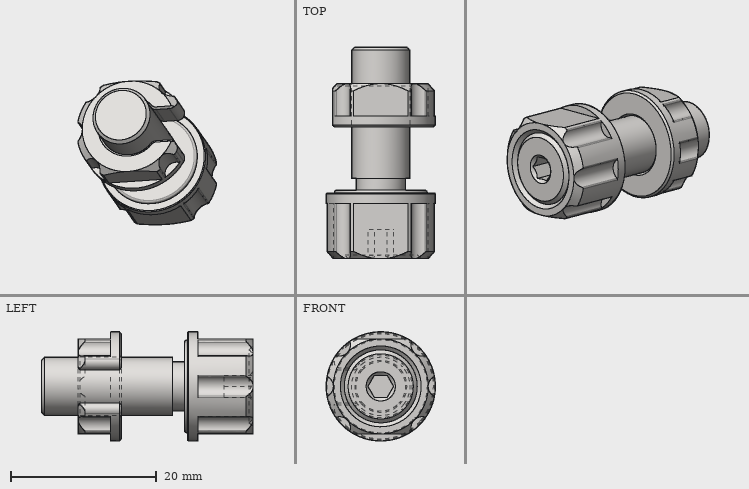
import cadquery as cq

LENGTH = 29.03

OUTER_RADIUS = 15.0 / 2
FLAT_HEIGHT = 6.5
GRIP_CHAMFER = 1.0
NOTCH_CENTRE = 8.0
NOTCH_RADIUS = 1.5
NOTCH_EDGE_ROUND = 0.2
NOTCH_ANGLES = [0, 45, 135, 180, 225, 315]

HEAD_GRIP_LENGTH = 7.58
FLANGE_END = 9.03
FLANGE_EDGE_CHAMFER = 0.15
COLLAR_RADIUS = 6.4
COLLAR_END = 9.4
COLLAR_ROUND = 0.35
NECK_RADIUS = 3.4
NECK_END = 11.03
SHAFT_RADIUS = 4.0
TIP_CHAMFER = 0.44

GROOVE_OUTER_RADIUS = 5.55
GROOVE_INNER_RADIUS = 4.47
SOCKET_FLATS = 3.05
SOCKET_DEPTH = 4.0
SOCKET_MOUTH_RADIUS = 2.0

CLIP_START = 18.05
CLIP_END = 24.0
CLIP_FLANGE = 1.5
CLIP_EDGE_CHAMFER = 0.3
BORE_RADIUS = SHAFT_RADIUS
SLOT_WIDTH = 4.5
SLOT_CORNER_ROUND = 1.0


def turned(points):
    """Solid of revolution about Y from (radius, y) points."""
    return cq.Workplane("XY").polyline(points).close().revolve(360, (0, 0, 0), (0, 1, 0))


def along_y(start):
    """Sketch plane across the axis at y = start, facing +Y, with local x = +X and local y = -Z."""
    return cq.Workplane(cq.Plane((0, start, 0), xDir=(1, 0, 0), normal=(0, 1, 0)))


def grip_waste(start, length):
    """Material to remove around a grip: everything outside its flats, notches and rounded notch edges."""
    grip = along_y(start).circle(OUTER_RADIUS).extrude(length)
    for angle in NOTCH_ANGLES:
        notch = along_y(start).center(NOTCH_CENTRE, 0).circle(NOTCH_RADIUS).extrude(length)
        grip = grip.cut(notch.rotate((0, 0, 0), (0, 1, 0), angle))
    grip = grip.edges("|Y").fillet(NOTCH_EDGE_ROUND)
    between_flats = along_y(start).rect(3 * OUTER_RADIUS, 2 * FLAT_HEIGHT).extrude(length)
    surround = along_y(start).circle(2 * OUTER_RADIUS).extrude(length)
    return surround.cut(grip.intersect(between_flats))


def face_groove():
    """45 degree V groove around the head face."""
    depth = (GROOVE_OUTER_RADIUS - GROOVE_INNER_RADIUS) / 2
    return turned([
        (GROOVE_INNER_RADIUS, 0),
        (GROOVE_OUTER_RADIUS, 0),
        (GROOVE_INNER_RADIUS + depth, depth),
    ])


def hex_socket():
    """Hexagon with flats facing +Z and -Z, and a 90 degree conical mouth."""
    hexagon = (
        along_y(0)
        .transformed(rotate=(0, 0, 30))
        .polygon(6, SOCKET_FLATS, circumscribed=True)
        .extrude(SOCKET_DEPTH)
    )
    mouth = turned([(0, 0), (SOCKET_MOUTH_RADIUS, 0), (0, SOCKET_MOUTH_RADIUS)])
    return hexagon.union(mouth)


def make_screw():
    body = turned([
        (0, 0),
        (OUTER_RADIUS - GRIP_CHAMFER, 0),
        (OUTER_RADIUS, GRIP_CHAMFER),
        (OUTER_RADIUS, FLANGE_END - FLANGE_EDGE_CHAMFER),
        (OUTER_RADIUS - FLANGE_EDGE_CHAMFER, FLANGE_END),
        (NECK_RADIUS, FLANGE_END),
        (NECK_RADIUS, NECK_END),
        (SHAFT_RADIUS, NECK_END),
        (SHAFT_RADIUS, LENGTH - TIP_CHAMFER),
        (SHAFT_RADIUS - TIP_CHAMFER, LENGTH),
        (0, LENGTH),
    ])
    body = body.cut(grip_waste(0, HEAD_GRIP_LENGTH))

    collar = along_y(HEAD_GRIP_LENGTH).circle(COLLAR_RADIUS).extrude(COLLAR_END - HEAD_GRIP_LENGTH)
    collar = collar.faces(">Y").edges().fillet(COLLAR_ROUND)

    return body.union(collar).cut(face_groove()).cut(hex_socket())


def make_clip():
    length = CLIP_END - CLIP_START
    ring = along_y(CLIP_START).circle(OUTER_RADIUS).circle(BORE_RADIUS).extrude(length)
    slot = along_y(CLIP_START).center(-OUTER_RADIUS, 0).rect(2 * OUTER_RADIUS, SLOT_WIDTH).extrude(length)
    body = ring.cut(slot)

    slot_corners = cq.selectors.BoxSelector(
        (-OUTER_RADIUS, CLIP_START, -SLOT_WIDTH), (0, CLIP_END, SLOT_WIDTH)
    )
    body = body.edges("|Y").edges(slot_corners).fillet(SLOT_CORNER_ROUND)
    body = body.faces("<Y or >Y").edges().chamfer(CLIP_EDGE_CHAMFER)

    envelope = turned([
        (0, CLIP_START),
        (OUTER_RADIUS, CLIP_START),
        (OUTER_RADIUS, CLIP_END - GRIP_CHAMFER),
        (OUTER_RADIUS - GRIP_CHAMFER, CLIP_END),
        (0, CLIP_END),
    ])
    body = body.intersect(envelope)
    return body.cut(grip_waste(CLIP_START + CLIP_FLANGE, length - CLIP_FLANGE))


screw = make_screw()
clip = make_clip()
result = cq.Compound.makeCompound([screw.solids().val(), clip.solids().val()])